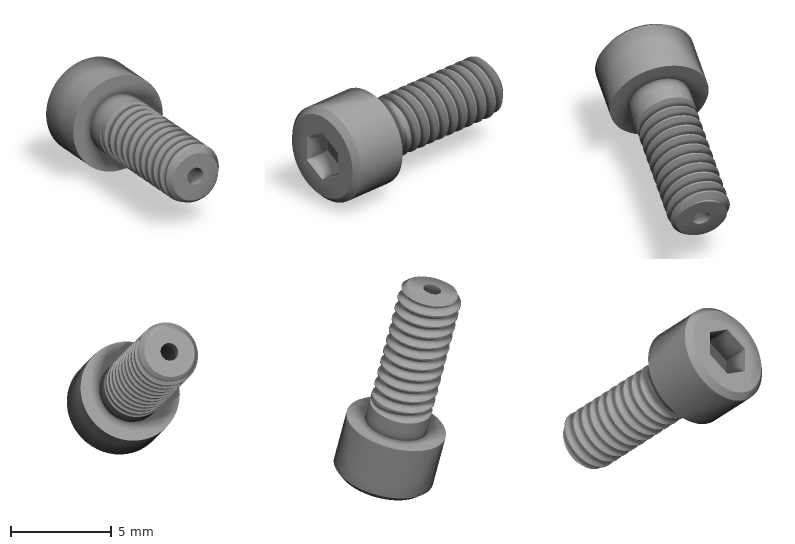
import cadquery as cq
import math

total_length = 11.05
head_diameter = 5.12
head_length = 3.1
head_chamfer = 0.31
shank_diameter = 3.18
tip_chamfer = 0.3
hex_across_flats = 2.3
hex_depth = 1.43
bore_diameter = 0.91

turns_per_span = 9
thread_span = 5.71
pitch = thread_span / turns_per_span
flank_half_angle = math.radians(30)
crest_flat = pitch / 8
thread_depth = 0.39
groove_start = 4.38
groove_turns = 11.5
runout_turns = 1 / 3
clearance = 0.02

shank_radius = shank_diameter / 2
root_radius = shank_radius - thread_depth
cutter_radius = shank_radius + clearance


def make_head():
    """Cylindrical head with a chamfered outer rim."""
    head = cq.Workplane("YZ").circle(head_diameter / 2).extrude(head_length)
    return head.faces("<X").chamfer(head_chamfer)


def make_shank():
    """Plain cylinder along the whole length of the screw."""
    return cq.Workplane("YZ").circle(shank_radius).extrude(total_length)


def groove_corners():
    """Groove section corners, in order, as (radius, offset along the axis)."""
    mouth_half = (pitch - crest_flat) / 2
    root_half = mouth_half - thread_depth * math.tan(flank_half_angle)
    outer_half = mouth_half + clearance * math.tan(flank_half_angle)
    return [
        (root_radius, -root_half),
        (root_radius, root_half),
        (cutter_radius, outer_half),
        (cutter_radius, -outer_half),
    ]


def helical_solid(helices):
    """Close the space between four helices with ruled sides and flat ends."""
    pairs = list(zip(helices, helices[1:] + helices[:1]))
    faces = [cq.Face.makeRuledSurface(first, second) for first, second in pairs]
    for end in (0, 1):
        points = [helix.positionAt(end) for helix in helices]
        faces.append(cq.Face.makeFromWires(cq.Wire.makePolygon(points, close=True)))
    solid = cq.Solid.makeSolid(cq.Shell.makeShell(faces))
    return solid.fix()


def helix_edge(radius, offset, turns, cone_angle=360.0, backward=False):
    """Right-handed helix about Z starting on the +X side; a cone angle of 360 means a cylinder."""
    slant_pitch = pitch / math.cos(math.radians(cone_angle))
    wire = cq.Wire.makeHelix(slant_pitch, turns * slant_pitch, radius, angle=cone_angle)
    if backward:
        wire = wire.rotate(cq.Vector(0, 0, 0), cq.Vector(1, 0, 0), 180)
    return wire.translate(cq.Vector(0, 0, offset)).Edges()[0]


def place_on_screw(solid):
    """Turn the groove axis from Z to X and its start from +X to -Z."""
    turned = solid.rotate(cq.Vector(0, 0, 0), cq.Vector(0, 1, 0), 90)
    return turned.translate(cq.Vector(groove_start, 0, 0))


def cut_thread(body):
    """Cut the full-depth groove and the runout that rises to the shank surface."""
    corners = groove_corners()
    runout_rise = thread_depth + clearance
    runout_angle = math.degrees(math.atan2(runout_rise, runout_turns * pitch))
    full = [helix_edge(r, x, groove_turns) for r, x in corners]
    runout = [helix_edge(r, x, runout_turns, runout_angle, True) for r, x in corners]
    for helices in (full, runout):
        body = body.cut(cq.Workplane(place_on_screw(helical_solid(helices))))
    return body


def chamfer_tip(body):
    """Trim the threaded tip with a 45 degree cone."""
    ring_corners = [
        (total_length - tip_chamfer, shank_radius),
        (total_length + clearance, shank_radius - tip_chamfer - clearance),
        (total_length + clearance, cutter_radius),
        (total_length - tip_chamfer, cutter_radius),
    ]
    ring = cq.Workplane("XY").polyline(ring_corners).close().revolve(360, (0, 0, 0), (1, 0, 0))
    return body.cut(ring)


def cut_socket(body):
    """Hexagonal socket with corners at +Z and -Z, and a bore along the whole axis."""
    across_corners = hex_across_flats / math.cos(math.radians(30))
    socket = cq.Workplane("YZ").polygon(6, across_corners).extrude(hex_depth)
    socket = socket.rotate((0, 0, 0), (1, 0, 0), 90)
    bore = cq.Workplane("YZ").circle(bore_diameter / 2).extrude(total_length)
    return body.cut(socket).cut(bore)


threaded_shank = chamfer_tip(cut_thread(make_shank()))
result = cut_socket(make_head().union(threaded_shank))